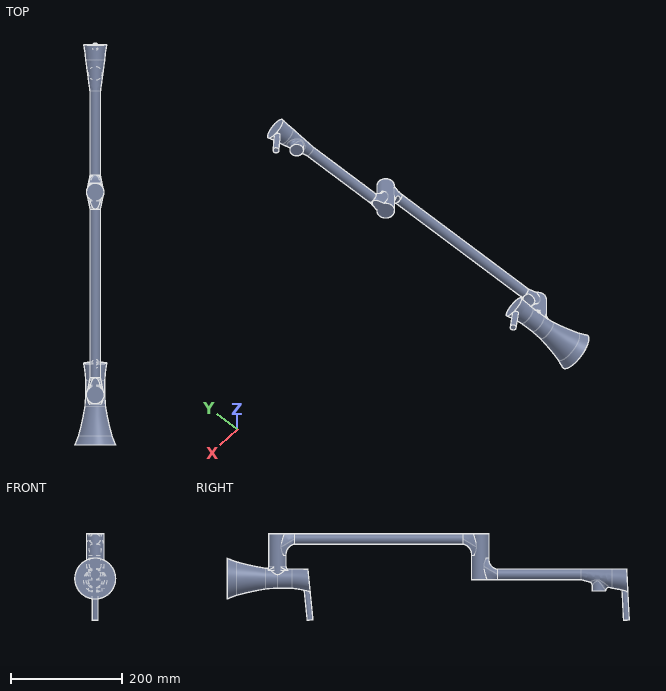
import cadquery as cq
import math


quarter_mid = math.sqrt(0.5)

rose_radius = 37.0
rim_radius, rim_y = 30.5, 16.5
waist_radius, waist_y = 24.0, 43.0
neck_radius, neck_y = 19.0, 69.5
barrel_radius, barrel_end_y = 17.0, 116.5

column_radius = 16.0
near_column_y, far_column_y = 90.5, 455.0
column_top_z, column_bottom_z = 81.0, -2.0
column_joint_z = (column_top_z + column_bottom_z) / 2
tube_diameter = 19.5
tube_radius = tube_diameter / 2
upper_tube_z = column_top_z - tube_radius
lower_tube_z = column_bottom_z + tube_radius

elbow_reach = 31.0
elbow_root = 6.5
elbow_end_radius = 9.5
elbow_root_half_width = 14.5
elbow_overrise = 14.5
elbow_overdepth = 43.5
elbow_drop = 20.0

collar_top_z, collar_bottom_z = 22.5, 14.5
collar_radius = 23.0
collar_half_width = 15.0

spout_start_y, spout_end_y = 636.0, 692.0
spout_end_radius = barrel_radius
spout_end_z = lower_tube_z + tube_radius - spout_end_radius
outlet_y, outlet_radius, outlet_tip_z = 668.0, 12.0, -22.5
outlet_fillet = 6.0
selection_margin = 1.0

handle_radius, handle_z = 21.0, -3.5
handle_mid_flare = 0.35
lever_radius, lever_tip_z = 5.4, -75.0
near_face_y, near_tilt = 147.5, math.atan(0.1)
far_face_y, far_lever_tip_y = 719.5, 723
far_tilt = math.atan((far_lever_tip_y - far_face_y) / (handle_z - lever_tip_z))


def disc(y, z, radius, tilt=0.0):
    """Circle facing +Y, leaning by tilt so that its lower edge moves toward +Y."""
    edge = cq.Edge.makeCircle(radius, cq.Vector(0, y, z), cq.Vector(0, math.cos(tilt), math.sin(tilt)))
    return cq.Wire.assembleEdges([edge])


def tube(start_y, end_y, z):
    return cq.Workplane(cq.Solid.makeCylinder(
        tube_radius, end_y - start_y, cq.Vector(0, start_y, z), cq.Vector(0, 1, 0)))


def column(y, bottom_z, top_z):
    return cq.Workplane("XY", origin=(0, y, bottom_z)).circle(column_radius).extrude(top_z - bottom_z)


def elbow(column_y, y_sign, end_z, z_sign):
    """Flared neck; z_sign points to the flat column end, y_sign toward the tube."""
    def section(offset, half_width, outer, inner):
        center_z = end_z - z_sign * (tube_radius - (outer - inner) / 2)
        plane = cq.Plane((0, column_y + y_sign * offset, center_z), xDir=(1, 0, 0), normal=(0, 1, 0))
        return cq.Workplane(plane).ellipse(half_width, (outer + inner) / 2).wires().val()

    flare = cq.Workplane(cq.Solid.makeLoft([
        section(elbow_reach, elbow_end_radius, elbow_end_radius, elbow_end_radius),
        section(
            elbow_root,
            elbow_root_half_width,
            elbow_end_radius + elbow_overrise,
            elbow_end_radius + elbow_overdepth,
        ),
    ], True))

    neck_depth = tube_radius + elbow_end_radius
    arc_run = elbow_reach - column_radius

    def point(offset, depth):
        return (column_y + y_sign * offset, end_z - z_sign * depth)

    outline = (
        cq.Workplane("YZ", origin=(-column_radius, 0, 0))
        .moveTo(*point(0, 0))
        .lineTo(*point(elbow_reach, 0))
        .lineTo(*point(elbow_reach, neck_depth))
        .threePointArc(
            point(elbow_reach - arc_run * quarter_mid, neck_depth + elbow_drop * (1 - quarter_mid)),
            point(column_radius, neck_depth + elbow_drop),
        )
        .lineTo(*point(0, neck_depth + elbow_drop))
        .close()
        .extrude(2 * column_radius)
    )
    return flare.intersect(outline)


def handle(seam_y, seam_z, seam_radius, face_y, tilt):
    """Flared grip with a lever hanging from it, flush with its leaning face."""
    grip = cq.Workplane(cq.Solid.makeLoft([
        disc(seam_y, seam_z, seam_radius),
        disc(
            (seam_y + face_y) / 2,
            seam_z + (handle_z - seam_z) * handle_mid_flare,
            seam_radius + (handle_radius - seam_radius) * handle_mid_flare,
            tilt / 2,
        ),
        disc(face_y, handle_z, handle_radius, tilt),
    ]))
    length = (handle_z - lever_tip_z) / math.cos(tilt) - lever_radius * math.tan(tilt)
    start = cq.Vector(0, face_y - lever_radius / math.cos(tilt), handle_z)
    lever = cq.Solid.makeCylinder(lever_radius, length, start, cq.Vector(0, math.sin(tilt), -math.cos(tilt)))
    return grip.union(cq.Workplane(lever))


rose = (
    cq.Workplane("XY")
    .moveTo(0, 0)
    .lineTo(rose_radius, 0)
    .lineTo(rim_radius, rim_y)
    .threePointArc((waist_radius, waist_y), (neck_radius, neck_y))
    .lineTo(barrel_radius, near_column_y)
    .lineTo(barrel_radius, barrel_end_y)
    .lineTo(0, barrel_end_y)
    .close()
    .revolve(360, (0, 0, 0), (0, 1, 0))
)
valve = rose.union(column(near_column_y, 0, column_joint_z))
collar_height = collar_top_z - collar_bottom_z
collar = (
    cq.Workplane("XZ", origin=(0, near_column_y, 0))
    .moveTo(0, collar_bottom_z)
    .lineTo(collar_radius, collar_bottom_z)
    .threePointArc(
        (
            collar_radius - (collar_radius - column_radius) * quarter_mid,
            collar_bottom_z + collar_height * (1 - quarter_mid),
        ),
        (column_radius, collar_top_z),
    )
    .lineTo(0, collar_top_z)
    .close()
    .revolve(360, (0, 0, 0), (0, 1, 0))
)
collar_outline = (
    cq.Workplane("XY", origin=(0, near_column_y, 0))
    .ellipse(collar_half_width, collar_radius)
    .extrude(collar_top_z)
)
valve = valve.union(collar.intersect(collar_outline))
near_swivel = column(near_column_y, column_joint_z, column_top_z)
far_swivel = column(far_column_y, column_bottom_z, column_top_z)

spout = cq.Workplane(cq.Solid.makeLoft([
    disc(spout_start_y, lower_tube_z, tube_radius),
    disc(spout_end_y, spout_end_z, spout_end_radius),
]))
outlet = (
    cq.Workplane("XY", origin=(0, outlet_y, outlet_tip_z))
    .circle(outlet_radius)
    .extrude(lower_tube_z - outlet_tip_z)
)
spout = spout.union(outlet)
outlet_reach = outlet_radius + selection_margin
outlet_root = cq.selectors.BoxSelector(
    (-outlet_reach, outlet_y - outlet_reach, outlet_tip_z + selection_margin),
    (outlet_reach, outlet_y + outlet_reach, lower_tube_z),
    boundingbox=True,
)
spout = spout.edges(outlet_root - cq.selectors.TypeSelector("LINE")).fillet(outlet_fillet)

result = valve
for piece in [
    near_swivel,
    far_swivel,
    tube(near_column_y + elbow_reach, far_column_y - elbow_reach, upper_tube_z),
    tube(far_column_y + elbow_reach, spout_start_y, lower_tube_z),
    elbow(near_column_y, 1, column_top_z, 1),
    elbow(far_column_y, -1, column_top_z, 1),
    elbow(far_column_y, 1, column_bottom_z, -1),
    spout,
    handle(barrel_end_y, 0, barrel_radius, near_face_y, near_tilt),
    handle(spout_end_y, spout_end_z, spout_end_radius, far_face_y, far_tilt),
]:
    result = result.union(piece)